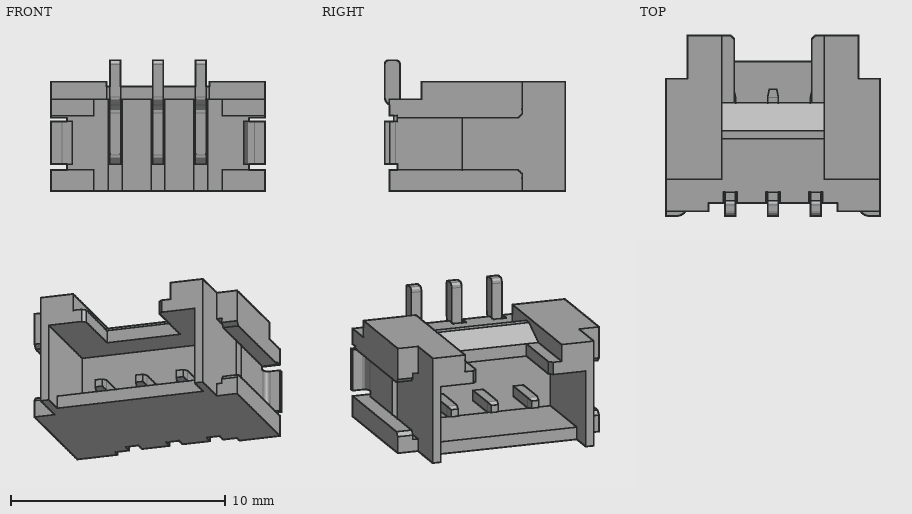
import cadquery as cq
import math

WIDTH = 10.0
LENGTH = 8.22
HEIGHT = 5.12
REAR_FACE = 0.38
ROOF_TOP = 4.3
RAISED_START = 1.5

NOSE_WIDTH = 8.0
RAIL_END = 6.2
LOWER_RAIL_TOP = 1.0
UPPER_RAIL_BOTTOM = 3.42
RAIL_CHAMFER = 0.19
FLANGE_WIDTH = 2.0
FLANGE_BOTTOM = 3.53

CAVITY_BACK = 3.4
CAVITY_WIDTH = 7.2
DECK_WIDTH = 4.8
MOUTH_WIDTH = 3.6
LEDGE_THICKNESS = 0.6
LEDGE_CHAMFER = 0.18
CEILING = ROOF_TOP - LEDGE_THICKNESS
FLOOR_TOP = LEDGE_THICKNESS
FLOOR_END = 7.0
ROOF_END = 5.06

RIDGE_TOP = 4.9
RIDGE_CREST = 0.37

PIN_PITCH = 2.0
PIN_COUNT = 3
PIN_WIDTH = 0.5
PIN_TOP = 6.12
PIN_BOTTOM = 1.26
PIN_OVERHANG = 0.22
LEG_DEPTH = 0.72
LEG_TOP_RADIUS = 0.2
JOG = 0.42
JOG_TOP = 4.41
JOG_BOTTOM = 3.67
HEEL_RADIUS = 0.45
TIP_START = 5.32
TIP_END = 5.7
TIP_WIDTH = 0.35
SLOT_WIDTH = 0.64
SLOT_FRONT = 0.9

NAIL_THICKNESS = 0.25
NAIL_BOTTOM = PIN_BOTTOM
NAIL_HEIGHT = 2.0
NAIL_GROOVE_DEPTH = 0.4
NAIL_OUTER_RADIUS = 2 * NAIL_THICKNESS


def block(x_range, y_range, z_range):
    """Box given by its limits along each axis."""
    size = [high - low for low, high in (x_range, y_range, z_range)]
    corner = (x_range[0], y_range[0], z_range[0])
    return cq.Workplane("XY").box(*size, centered=False).translate(corner)


def centred_block(width, y_range, z_range):
    """Box symmetric about X = 0."""
    return block((-width / 2, width / 2), y_range, z_range)


def mirrored_pair(shape):
    """The shape together with its mirror image across X = 0."""
    return shape.union(shape.mirror("YZ"))


def rail(z_range, chamfered_edge):
    """Full-width slab that forms a rail on both sides, with one front edge chamfered."""
    slab = centred_block(WIDTH, (REAR_FACE, RAIL_END), z_range)
    return slab.edges(chamfered_edge).chamfer(RAIL_CHAMFER)


def make_outer_body():
    body = centred_block(NOSE_WIDTH, (REAR_FACE, LENGTH), (0, HEIGHT))
    body = body.union(rail((0, LOWER_RAIL_TOP), ">Y and >Z"))
    body = body.union(rail((UPPER_RAIL_BOTTOM, HEIGHT), ">Y and <Z"))
    nail_x = (NOSE_WIDTH / 2, NOSE_WIDTH / 2 + NAIL_THICKNESS)
    groove_z = (LOWER_RAIL_TOP - NAIL_GROOVE_DEPTH, UPPER_RAIL_BOTTOM + NAIL_GROOVE_DEPTH)
    filler_z = (LOWER_RAIL_TOP, UPPER_RAIL_BOTTOM)
    body = body.cut(mirrored_pair(block(nail_x, (CAVITY_BACK, RAIL_END), groove_z)))
    body = body.union(mirrored_pair(block(nail_x, (REAR_FACE, CAVITY_BACK), filler_z)))
    flange_x = (WIDTH / 2 - FLANGE_WIDTH, WIDTH / 2)
    for z_range in ((0, LOWER_RAIL_TOP), (FLANGE_BOTTOM, ROOF_TOP)):
        body = body.union(mirrored_pair(block(flange_x, (0, REAR_FACE), z_range)))
    return body


def cut_openings(body):
    body = body.cut(centred_block(WIDTH, (0, RAISED_START), (ROOF_TOP, HEIGHT)))
    body = body.cut(centred_block(DECK_WIDTH, (0, LENGTH), (ROOF_TOP, HEIGHT)))
    body = body.cut(centred_block(CAVITY_WIDTH, (CAVITY_BACK, LENGTH), (FLOOR_TOP, CEILING)))
    body = body.cut(centred_block(CAVITY_WIDTH, (FLOOR_END, LENGTH), (0, FLOOR_TOP)))
    half_mouth = MOUTH_WIDTH / 2
    mouth = (
        cq.Workplane("XY", origin=(0, 0, CEILING))
        .moveTo(-half_mouth, ROOF_END)
        .lineTo(half_mouth, ROOF_END)
        .lineTo(half_mouth, LENGTH - LEDGE_CHAMFER)
        .lineTo(half_mouth + LEDGE_CHAMFER, LENGTH)
        .lineTo(-half_mouth - LEDGE_CHAMFER, LENGTH)
        .lineTo(-half_mouth, LENGTH - LEDGE_CHAMFER)
        .close()
        .extrude(LEDGE_THICKNESS)
    )
    return body.cut(mouth)


def make_ridge():
    """Wedge across the roof, upright at the rear and sloping to the roof edge."""
    return (
        cq.Workplane("YZ")
        .moveTo(CAVITY_BACK, ROOF_TOP)
        .lineTo(CAVITY_BACK, RIDGE_TOP)
        .lineTo(CAVITY_BACK + RIDGE_CREST, RIDGE_TOP)
        .lineTo(ROOF_END, ROOF_TOP)
        .close()
        .extrude(DECK_WIDTH / 2, both=True)
    )


def make_pin():
    """Contact: upright leg with an S-shaped jog in its rear face, then a square pin into the cavity."""
    upper_rear = -PIN_OVERHANG
    leg_front = upper_rear + LEG_DEPTH
    lower_rear = upper_rear + JOG
    pin_z_top = PIN_BOTTOM + PIN_WIDTH
    jog_middle = (JOG_TOP + JOG_BOTTOM) / 2
    heel_offset = HEEL_RADIUS * (1 - math.sqrt(0.5))
    leg = (
        cq.Workplane("YZ")
        .moveTo(upper_rear, PIN_TOP)
        .lineTo(upper_rear, JOG_TOP)
        .tangentArcPoint((upper_rear + JOG / 2, jog_middle), relative=False)
        .tangentArcPoint((lower_rear, JOG_BOTTOM), relative=False)
        .lineTo(lower_rear, PIN_BOTTOM + HEEL_RADIUS)
        .threePointArc(
            (lower_rear + heel_offset, PIN_BOTTOM + heel_offset),
            (lower_rear + HEEL_RADIUS, PIN_BOTTOM),
        )
        .lineTo(TIP_START, PIN_BOTTOM)
        .lineTo(TIP_START, pin_z_top)
        .lineTo(leg_front, pin_z_top)
        .lineTo(leg_front, PIN_TOP)
        .close()
        .extrude(PIN_WIDTH / 2, both=True)
        .edges(">Z and |X")
        .fillet(LEG_TOP_RADIUS)
    )
    tip = (
        leg.faces(">Y")
        .workplane(centerOption="CenterOfMass")
        .rect(PIN_WIDTH, PIN_WIDTH)
        .workplane(offset=TIP_END - TIP_START)
        .rect(TIP_WIDTH, TIP_WIDTH)
        .loft(combine=False)
    )
    return leg.union(tip)


def make_nail():
    """Strip leaving the rear wall on the +X side and bending outwards to a flat lip."""
    inner_radius = NAIL_OUTER_RADIUS - NAIL_THICKNESS
    strip_in = NOSE_WIDTH / 2
    strip_out = strip_in + NAIL_THICKNESS
    lip_rear = -PIN_OVERHANG
    lip_front = lip_rear + NAIL_THICKNESS
    bend_x = strip_in + NAIL_OUTER_RADIUS
    bend_y = lip_rear + NAIL_OUTER_RADIUS
    diagonal = math.sqrt(0.5)
    return (
        cq.Workplane("XY", origin=(0, 0, NAIL_BOTTOM))
        .moveTo(strip_in, CAVITY_BACK)
        .lineTo(strip_in, bend_y)
        .threePointArc(
            (bend_x - NAIL_OUTER_RADIUS * diagonal, bend_y - NAIL_OUTER_RADIUS * diagonal),
            (bend_x, lip_rear),
        )
        .lineTo(WIDTH / 2, lip_rear)
        .lineTo(WIDTH / 2, lip_front)
        .lineTo(bend_x, lip_front)
        .threePointArc(
            (bend_x - inner_radius * diagonal, bend_y - inner_radius * diagonal),
            (strip_out, bend_y),
        )
        .lineTo(strip_out, CAVITY_BACK)
        .close()
        .extrude(NAIL_HEIGHT)
    )


housing = cut_openings(make_outer_body()).union(make_ridge())

slot = centred_block(SLOT_WIDTH, (0, SLOT_FRONT), (0, ROOF_TOP))
pin = make_pin()
for index in range(PIN_COUNT):
    pin_x = (index - (PIN_COUNT - 1) / 2) * PIN_PITCH
    housing = housing.cut(slot.translate((pin_x, 0, 0)))
    housing = housing.union(pin.translate((pin_x, 0, 0)))

result = housing.union(mirrored_pair(make_nail()))